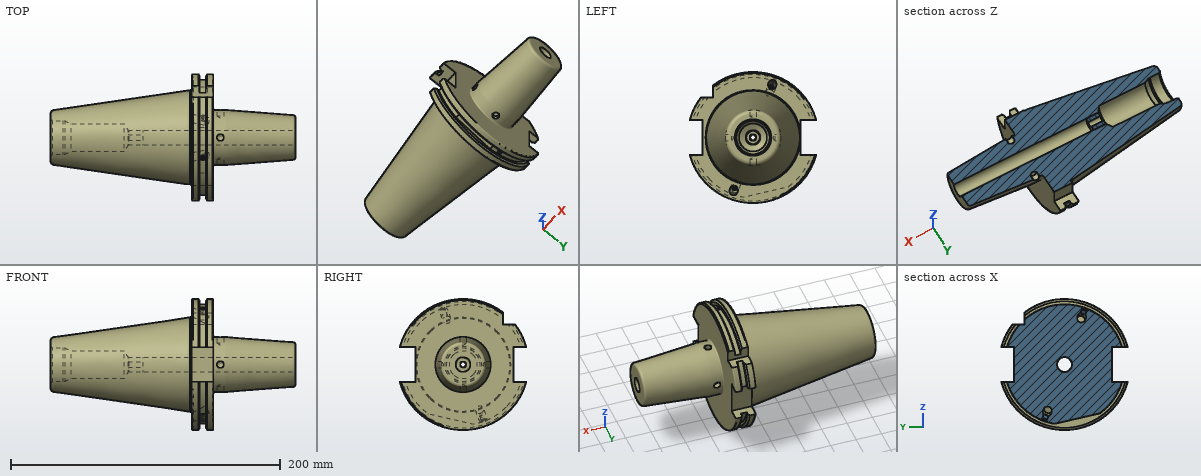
import cadquery as cq
import math

TOTAL_LENGTH = 181.8

GAUGE_X = 101.8
GAUGE_RADIUS = 34.9
TAPER_SLOPE = 3.5 / 24
SHANK_END_RADIUS = GAUGE_RADIUS - GAUGE_X * TAPER_SLOPE
SHANK_END_FILLET = 3.0
COLLAR_WIDTH = 1.6
RELIEF_RADIUS = 34.5
SHOULDER_RADIUS = 35.3
SHOULDER_WIDTH = 0.7

FLANGE_START_X = 104.9
FLANGE_END_X = 120.9
FLANGE_RADIUS = 48.7
RIM_FILLET = 1.0
GROOVE_CENTRE_X = 113.0
GROOVE_FLOOR_WIDTH = 4.4
GROOVE_MOUTH_WIDTH = 6.5
GROOVE_FLOOR_RADIUS = 44.7
GROOVE_WALL_RADIUS = 46.9
GROOVE_FLAT_DISTANCE = 41.3
GROOVE_FLAT_ANGLE = 167.0

SLOT_WIDTH = 25.6
FRONT_SLOT_FLOOR = 35.3
BACK_SLOT_FLOOR = 37.6
NOTCH_CORNER = 29.8

NOZZLE_RADIUS = 20.5
NOZZLE_FILLET = 0.9
NOZZLE_CONE_X = 129.8
NOZZLE_TIP_RADIUS = 16.5
NOZZLE_TIP_FILLET = 2.0

BALANCE_HOLE_X = 126.0
BALANCE_HOLE_RADIUS = 2.5
BALANCE_HOLE_DEPTH = 4.5
BALANCE_HOLE_COUNT = 4

MOUTH_RADIUS = 13.6
COUNTERBORE_RADIUS = 12.5
MOUTH_CHAMFER_LENGTH = 1.5
COUNTERBORE_END_X = 9.0
LEAD_IN_RADIUS = 12.4
LEAD_IN_LENGTH = 1.5
STUD_BORE_RADIUS = 10.4
STUD_BORE_START_X = 14.9
STUD_BORE_END_X = 54.5
STOP_BORE_RADIUS = 5.5
DRILL_POINT_HALF_ANGLE = 59.0
STOP_BORE_START_X = STUD_BORE_END_X + (
    (STUD_BORE_RADIUS - STOP_BORE_RADIUS) / math.tan(math.radians(DRILL_POINT_HALF_ANGLE))
)

STOP_SCREW_LENGTH = 10.9
STOP_SCREW_CHAMFER = 0.5
STOP_SCREW_HOLE_RADIUS = 2.0
STOP_SCREW_COUNTERSINK = 0.5

COOLANT_ANGLES = (20.0, 200.0)
COOLANT_CIRCLE_RADIUS = 41.8
COOLANT_RADIUS = 3.0
COOLANT_TILT = 30.0
COOLANT_DEPTH = 12.7
GRUB_RADIUS = 1.6
GRUB_TIP_RADIUS = 39.6
GRUB_HEAD_RECESS = 0.4
GRUB_TIP_CHAMFER = 0.5
GRUB_SOCKET_WIDTH = 1.8
GRUB_SOCKET_DEPTH = 1.5


def revolve_about_x(outline):
    return outline.close().revolve(360, (0, 0, 0), (1, 0, 0))


def turned_blank():
    half_mouth = GROOVE_MOUTH_WIDTH / 2
    half_floor = GROOVE_FLOOR_WIDTH / 2
    collar_end = GAUGE_X + COLLAR_WIDTH
    shoulder_start = FLANGE_START_X - SHOULDER_WIDTH
    rim_radius = FLANGE_RADIUS - RIM_FILLET
    outline = (
        cq.Workplane("XY")
        .lineTo(0, SHANK_END_RADIUS)
        .lineTo(GAUGE_X, GAUGE_RADIUS)
        .lineTo(collar_end, GAUGE_RADIUS)
        .lineTo(shoulder_start, RELIEF_RADIUS)
        .lineTo(shoulder_start, SHOULDER_RADIUS)
        .lineTo(FLANGE_START_X, SHOULDER_RADIUS)
        .lineTo(FLANGE_START_X, rim_radius)
        .radiusArc((FLANGE_START_X + RIM_FILLET, FLANGE_RADIUS), RIM_FILLET)
        .lineTo(GROOVE_CENTRE_X - half_mouth, FLANGE_RADIUS)
        .lineTo(GROOVE_CENTRE_X - half_floor, GROOVE_WALL_RADIUS)
        .lineTo(GROOVE_CENTRE_X - half_floor, GROOVE_FLOOR_RADIUS)
        .lineTo(GROOVE_CENTRE_X + half_floor, GROOVE_FLOOR_RADIUS)
        .lineTo(GROOVE_CENTRE_X + half_floor, GROOVE_WALL_RADIUS)
        .lineTo(GROOVE_CENTRE_X + half_mouth, FLANGE_RADIUS)
        .lineTo(FLANGE_END_X - RIM_FILLET, FLANGE_RADIUS)
        .radiusArc((FLANGE_END_X, rim_radius), RIM_FILLET)
        .lineTo(FLANGE_END_X, NOZZLE_RADIUS + NOZZLE_FILLET)
        .radiusArc((FLANGE_END_X + NOZZLE_FILLET, NOZZLE_RADIUS), -NOZZLE_FILLET)
        .lineTo(NOZZLE_CONE_X, NOZZLE_RADIUS)
        .lineTo(TOTAL_LENGTH, NOZZLE_TIP_RADIUS)
        .lineTo(TOTAL_LENGTH, 0)
    )
    blank = revolve_about_x(outline)
    blank = blank.faces("<X").edges().fillet(SHANK_END_FILLET)
    return blank.faces(">X").edges().fillet(NOZZLE_TIP_FILLET)


def stepped_bore():
    outline = (
        cq.Workplane("XY")
        .lineTo(0, MOUTH_RADIUS)
        .lineTo(MOUTH_CHAMFER_LENGTH, COUNTERBORE_RADIUS)
        .lineTo(COUNTERBORE_END_X, COUNTERBORE_RADIUS)
        .lineTo(COUNTERBORE_END_X, LEAD_IN_RADIUS)
        .lineTo(COUNTERBORE_END_X + LEAD_IN_LENGTH, LEAD_IN_RADIUS)
        .lineTo(STUD_BORE_START_X, STUD_BORE_RADIUS)
        .lineTo(STUD_BORE_END_X, STUD_BORE_RADIUS)
        .lineTo(STOP_BORE_START_X, STOP_BORE_RADIUS)
        .lineTo(TOTAL_LENGTH, STOP_BORE_RADIUS)
        .lineTo(TOTAL_LENGTH, 0)
    )
    return revolve_about_x(outline)


def flange_box(y_min, y_max, z_min, z_max):
    length = FLANGE_END_X - FLANGE_START_X
    box = cq.Workplane("XY").box(length, y_max - y_min, z_max - z_min, centered=False)
    return box.translate((FLANGE_START_X, y_min, z_min))


def flange_cuts():
    half_slot = SLOT_WIDTH / 2
    front_slot = flange_box(-FLANGE_RADIUS, -FRONT_SLOT_FLOOR, -half_slot, half_slot)
    back_slot = flange_box(BACK_SLOT_FLOOR, FLANGE_RADIUS, -half_slot, half_slot)
    notch = flange_box(NOTCH_CORNER, FLANGE_RADIUS, NOTCH_CORNER, FLANGE_RADIUS)
    return [front_slot, back_slot, notch]


def groove_flat():
    flat = cq.Workplane("XY").box(
        GROOVE_FLOOR_WIDTH, 2 * FLANGE_RADIUS, FLANGE_RADIUS, centered=(True, True, False)
    )
    flat = flat.translate((GROOVE_CENTRE_X, 0, GROOVE_FLAT_DISTANCE))
    return flat.rotate((0, 0, 0), (1, 0, 0), GROOVE_FLAT_ANGLE)


def balance_hole(angle):
    floor = NOZZLE_RADIUS - BALANCE_HOLE_DEPTH
    point = floor - BALANCE_HOLE_RADIUS / math.tan(math.radians(DRILL_POINT_HALF_ANGLE))
    hole = (
        cq.Workplane("XZ")
        .moveTo(BALANCE_HOLE_X, point)
        .lineTo(BALANCE_HOLE_X + BALANCE_HOLE_RADIUS, floor)
        .lineTo(BALANCE_HOLE_X + BALANCE_HOLE_RADIUS, NOZZLE_RADIUS)
        .lineTo(BALANCE_HOLE_X, NOZZLE_RADIUS)
        .close()
        .revolve(360, (BALANCE_HOLE_X, 0, 0), (BALANCE_HOLE_X, 1, 0))
    )
    return hole.rotate((0, 0, 0), (1, 0, 0), angle)


def coolant_hole(angle):
    tilt = math.radians(COOLANT_TILT)
    direction = cq.Vector(math.cos(tilt), 0, -math.sin(tilt))
    entry = cq.Vector(FLANGE_START_X, 0, COOLANT_CIRCLE_RADIUS)
    lead = COOLANT_RADIUS * math.tan(tilt)
    hole = cq.Solid.makeCylinder(
        COOLANT_RADIUS, COOLANT_DEPTH + lead, entry - direction * lead, direction
    )
    return cq.Workplane(hole).rotate((0, 0, 0), (1, 0, 0), angle)


def grub_hole(angle):
    hole = (
        cq.Workplane("XY", origin=(GROOVE_CENTRE_X, 0, GRUB_TIP_RADIUS))
        .circle(GRUB_RADIUS)
        .extrude(GROOVE_WALL_RADIUS - GRUB_TIP_RADIUS)
    )
    return hole.rotate((0, 0, 0), (1, 0, 0), angle)


def make_holder():
    holder = turned_blank().cut(stepped_bore())
    for cutter in [*flange_cuts(), groove_flat()]:
        holder = holder.cut(cutter)
    for index in range(BALANCE_HOLE_COUNT):
        holder = holder.cut(balance_hole(index * 360 / BALANCE_HOLE_COUNT))
    for angle in COOLANT_ANGLES:
        holder = holder.cut(coolant_hole(angle))
        holder = holder.cut(grub_hole(angle))
    return holder


def make_stop_screw():
    screw_end_x = STOP_BORE_START_X + STOP_SCREW_LENGTH
    outline = (
        cq.Workplane("XY")
        .moveTo(STOP_BORE_START_X, STOP_SCREW_HOLE_RADIUS + STOP_SCREW_COUNTERSINK)
        .lineTo(STOP_BORE_START_X, STOP_BORE_RADIUS - STOP_SCREW_CHAMFER)
        .lineTo(STOP_BORE_START_X + STOP_SCREW_CHAMFER, STOP_BORE_RADIUS)
        .lineTo(screw_end_x, STOP_BORE_RADIUS)
        .lineTo(screw_end_x, STOP_SCREW_HOLE_RADIUS)
        .lineTo(STOP_BORE_START_X + STOP_SCREW_COUNTERSINK, STOP_SCREW_HOLE_RADIUS)
    )
    return revolve_about_x(outline)


def make_grub_screw(angle):
    hex_diameter = GRUB_SOCKET_WIDTH / math.cos(math.radians(30))
    head_radius = GROOVE_FLOOR_RADIUS - GRUB_HEAD_RECESS
    screw = (
        cq.Workplane("XY", origin=(GROOVE_CENTRE_X, 0, GRUB_TIP_RADIUS))
        .circle(GRUB_RADIUS)
        .extrude(head_radius - GRUB_TIP_RADIUS)
        .faces("<Z")
        .chamfer(GRUB_TIP_CHAMFER)
    )
    socket = (
        cq.Workplane("XY", origin=(GROOVE_CENTRE_X, 0, head_radius - GRUB_SOCKET_DEPTH))
        .polygon(6, hex_diameter)
        .extrude(GRUB_SOCKET_DEPTH)
    )
    return screw.cut(socket).rotate((0, 0, 0), (1, 0, 0), angle)


holder = make_holder()
stop_screw = make_stop_screw()
grub_screws = [make_grub_screw(angle) for angle in COOLANT_ANGLES]

result = cq.Compound.makeCompound(
    [holder.val(), stop_screw.val(), *[screw.val() for screw in grub_screws]]
)